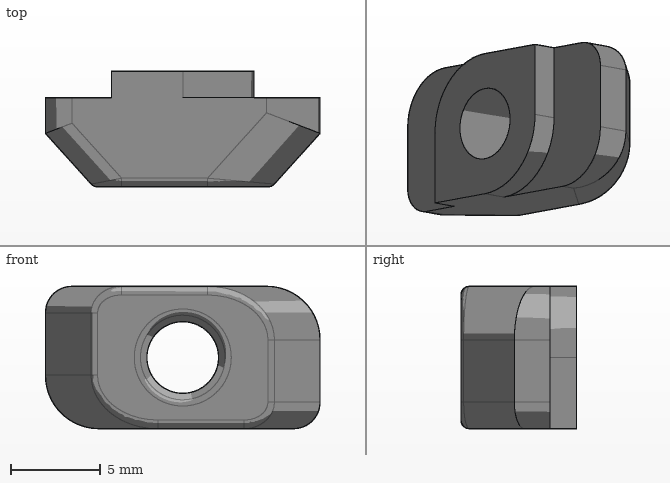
import cadquery as cq

length = 15.4
height = 8.0
body_depth = 5.0
boss_depth = 1.5
flange_depth = 2.0
taper_inset = 2.71

small_corner_radius = 1.5
large_corner_radius = 3.0
edge_radius = 0.5

bore_diameter = 4.0
countersink_diameter = 5.04
countersink_depth = (countersink_diameter - bore_diameter) / 2


def round_corner(body, x_side, z_side, radius):
    """Round the straight and the slanted edge that form one corner of the body."""
    front_half = length / 2 - taper_inset
    corner_edges = cq.selectors.BoxSelector(
        (x_side * front_half, -body_depth, 0),
        (x_side * length, 0, z_side * height),
    )
    long_face = ">Z" if z_side > 0 else "<Z"
    return body.faces(long_face).edges(corner_edges).fillet(radius)


def make_body():
    """Trapezoidal prism along Z with rounded ends and a rounded front rim."""
    half = length / 2
    front_half = half - taper_inset
    body = (
        cq.Workplane("XY")
        .polyline([
            (-half, 0),
            (half, 0),
            (half, -flange_depth),
            (front_half, -body_depth),
            (-front_half, -body_depth),
            (-half, -flange_depth),
        ])
        .close()
        .extrude(height / 2, both=True)
    )
    for side in (-1, 1):
        body = round_corner(body, side, -side, small_corner_radius)
        body = round_corner(body, side, side, large_corner_radius)
    return body.faces("<Y").edges().fillet(edge_radius)


def make_boss():
    """Square boss on the back with two opposite corners fully rounded."""
    half = height / 2
    return (
        cq.Workplane("XZ")
        .moveTo(-half, half)
        .lineTo(0, half)
        .radiusArc((half, 0), half)
        .lineTo(half, -half)
        .lineTo(0, -half)
        .radiusArc((-half, 0), half)
        .close()
        .extrude(-boss_depth)
    )


def cut_hole(part):
    """Through bore with a conical lead-in whose front rim is rounded."""
    bore = (
        cq.Workplane("XZ", origin=(0, boss_depth, 0))
        .circle(bore_diameter / 2)
        .extrude(body_depth + boss_depth)
    )
    lead_in = (
        cq.Workplane("XZ", origin=(0, -body_depth, 0))
        .circle(countersink_diameter / 2)
        .workplane(offset=-countersink_depth)
        .circle(bore_diameter / 2)
        .loft()
    )
    rim_reach = countersink_diameter / 2 + edge_radius
    rim_zone = cq.selectors.BoxSelector(
        (-rim_reach, -body_depth - edge_radius, -rim_reach),
        (rim_reach, -body_depth + edge_radius, rim_reach),
        boundingbox=True,
    )
    part = part.cut(bore).cut(lead_in)
    return part.faces("<Y").edges(rim_zone).fillet(edge_radius)


result = cut_hole(make_body().union(make_boss()))